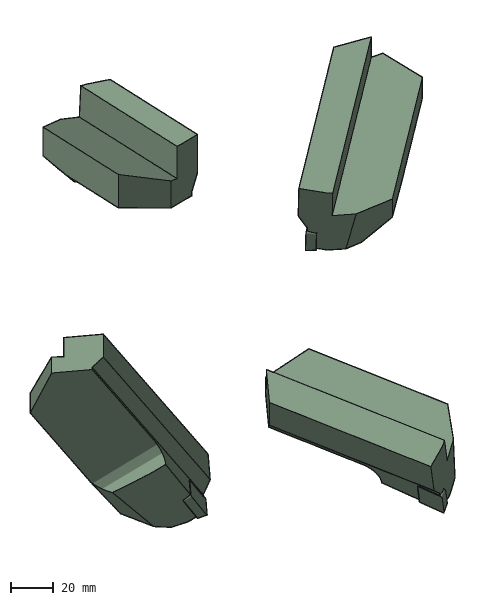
import cadquery as cq
import math

length = 100.4
depth = 42.3
height = 42.0

upright_front_y = 26.2
shelf_front_z = 29.7
shelf_rear_z = 25.9
back_slope_top_z = 22.7
rake_y = 37.7
back_slope_angle = 60.0
back_slope_bottom_z = back_slope_top_z - (depth - rake_y) * math.tan(math.radians(back_slope_angle))

end_half_angle = 60.0
end_tip_y = 21.3

lean_angle = 5.0
top_left_x = 4.9
left_end_base_x = top_left_x - height * math.tan(math.radians(lean_angle))
foot_base_z = 1.2
foot_nose_radius = 0.6
foot_right_x = 32.5
block_base_z = 13.0
foot_arc_end_x = 41.4
foot_arc_radius = 9.4

relief_start_y = 29.5
end_relief_angle = 9.8
underside_relief_angle = 6.2
corner_x = 16.3
corner_run_y = 15.1
corner_run_x = 10.1
lower_face_z = 15.4
lower_face_slope_x = 0.1
lower_face_slope_y = 0.97

insert_side = 12.9
insert_thickness = 4.9
insert_rake_y = 38.1
insert_clearance = 7.0
insert_nose_radius = 0.8
insert_corner_angle = 90.0 - 2 * lean_angle

cutter_size = 3 * length


def half_space(point, normal, x_direction):
    """Large block on the outer side of a cutting plane."""
    plane = cq.Plane(origin=point, xDir=x_direction, normal=normal)
    return cq.Workplane(plane).rect(cutter_size, cutter_size).extrude(cutter_size)


def make_cross_section_bar():
    """Stepped YZ section, running the full length."""
    points = [
        (0, 0),
        (rake_y, 0),
        (rake_y, back_slope_bottom_z),
        (depth, back_slope_top_z),
        (depth, height),
        (upright_front_y, height),
        (upright_front_y, shelf_rear_z),
        (0, shelf_front_z),
    ]
    return cq.Workplane("YZ").polyline(points).close().extrude(length)


def make_side_profile():
    """Leaning left end with a rounded nose, rising foot underside and the arc up to the block."""
    lean = math.tan(math.radians(lean_angle))
    corner_z = (foot_base_z + lean * left_end_base_x) / (1 - lean ** 2)
    corner = (left_end_base_x + lean * corner_z, corner_z)
    foot_end = (foot_right_x, foot_base_z + lean * foot_right_x)
    return (
        cq.Workplane("XZ")
        .moveTo(*corner)
        .lineTo(*foot_end)
        .radiusArc((foot_arc_end_x, block_base_z), foot_arc_radius)
        .lineTo(length, block_base_z)
        .lineTo(length, height)
        .lineTo(top_left_x, height)
        .close()
        .extrude(-depth)
        .edges(cq.selectors.NearestToPointSelector((corner[0], depth / 2, corner[1])))
        .fillet(foot_nose_radius)
    )


def cut_pointed_end(body):
    """Two upright faces meeting in a point at the right end."""
    normal_x = math.sin(math.radians(end_half_angle))
    normal_y = math.cos(math.radians(end_half_angle))
    for side in (-1, 1):
        body = body.cut(half_space((length, end_tip_y, 0), (normal_x, side * normal_y, 0), (0, 0, 1)))
    return body


def cut_foot_reliefs(body):
    """Clearance faces on the left end, underside and front of the foot."""
    lean = math.tan(math.radians(lean_angle))
    end_relief = math.tan(math.radians(end_relief_angle))
    underside_relief = math.tan(math.radians(underside_relief_angle))
    body = body.cut(
        half_space(
            (left_end_base_x, relief_start_y, 0),
            (-1, -end_relief, lean),
            (lean, 0, 1),
        )
    )
    body = body.cut(
        half_space(
            (0, relief_start_y, foot_base_z),
            (lean, -underside_relief, -1),
            (1, 0, lean),
        )
    )
    body = body.cut(half_space((corner_x, 0, 0), (-corner_run_y, -corner_run_x, 0), (0, 0, 1)))
    return body.cut(
        half_space(
            (corner_x, 0, lower_face_z),
            (-lower_face_slope_x, -lower_face_slope_y, -1),
            (1, 0, -lower_face_slope_x),
        )
    )


def make_insert():
    """Rhombic plate with rounded corners, narrowing towards its seat."""
    half_corner = math.radians(insert_corner_angle / 2)
    nose_x = insert_nose_radius * (1 - math.sqrt(0.5) / math.sin(half_corner))
    long_step = insert_side * math.cos(math.radians(lean_angle))
    short_step = insert_side * math.sin(math.radians(lean_angle))
    points = [
        (nose_x, nose_x),
        (nose_x + long_step, nose_x + short_step),
        (nose_x + long_step + short_step, nose_x + long_step + short_step),
        (nose_x + short_step, nose_x + long_step),
    ]
    return (
        cq.Workplane("XZ", origin=(0, insert_rake_y, 0))
        .polyline(points)
        .close()
        .extrude(insert_thickness, taper=insert_clearance)
        .edges("not(#Y)")
        .fillet(insert_nose_radius)
    )


def make_holder(insert):
    """Cartridge body with a seat matching the insert."""
    body = make_cross_section_bar().intersect(make_side_profile())
    body = cut_pointed_end(body)
    body = cut_foot_reliefs(body)
    return body.cut(insert)


insert = make_insert()
holder = make_holder(insert)
result = cq.Compound.makeCompound([*holder.vals(), *insert.vals()])